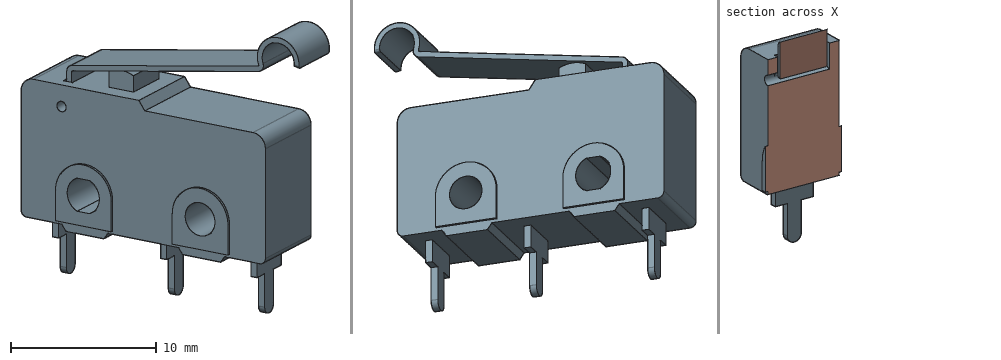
import cadquery as cq
import math


housing_length = 19.8
housing_width = 6.0
housing_height = 10.15
low_top_height = 9.45
step_start_x = 9.55
step_end_x = 10.03
top_corner_radius = 1.0
bottom_corner_radius = 0.45

wide_hole_x = 5.17
hole_spacing = 9.45
round_hole_x = wide_hole_x + hole_spacing
hole_z = 2.45
hole_diameter = 2.4
wide_hole_length = 2.6
pad_radius = 2.25
pad_bottom_z = 0.25
pad_height = 0.2
foot_top_length = 3.72
foot_bottom_length = 3.07
foot_height = 0.45

pivot_x = 3.28
pivot_z = 8.56
pivot_diameter = 0.75
slot_width = 4.34

lever_thickness = 0.4
lever_width = 4.0
lever_tilt = math.radians(10)
leg_bottom_z = 8.4
end_corner_radius = 0.18
bend_inner_radius = 0.1
bend_outer_radius = bend_inner_radius + lever_thickness
arm_root_z = 11.23
hook_radius = 1.69
hook_x = 20.21
hook_z = 14.65
riser_tilt = math.radians(20)
hook_tip_angle = math.radians(-10)

plunger_x = 7.31
plunger_length = 1.97
plunger_width = 3.37
dome_radius = 2.4

terminal_positions = (1.93, 10.69, 18.0)
terminal_thickness = 0.5
shoulder_width = 3.2
shoulder_depth = 1.62
blade_width = 1.18
terminal_depth = 4.65

leg_left = pivot_x - lever_thickness / 2
leg_right = pivot_x + lever_thickness / 2


def arm_top_z(x):
    return arm_root_z + (x - leg_left) * math.tan(lever_tilt)


def arm_underside_z(x):
    return arm_top_z(x) - lever_thickness / math.cos(lever_tilt)


def extrude_across(profile, width):
    """Extrude an XZ profile by the given width, centred on Y = 0."""
    return profile.extrude(width / 2, both=True)


def make_shell():
    """Solid block with the stepped top and rounded corners."""
    outline = (
        cq.Workplane("XZ")
        .polyline([
            (0, 0),
            (housing_length, 0),
            (housing_length, low_top_height),
            (step_end_x, low_top_height),
            (step_start_x, housing_height),
            (0, housing_height),
        ])
        .close()
    )
    shell = extrude_across(outline, housing_width)
    for x, top in ((0, housing_height), (housing_length, low_top_height)):
        shell = shell.edges(cq.NearestToPointSelector((x, 0, top))).fillet(top_corner_radius)
        shell = shell.edges(cq.NearestToPointSelector((x, 0, 0))).fillet(bottom_corner_radius)
    return shell


def make_pads(x):
    """Arched pads standing out from both the front and the back face."""
    outline = (
        cq.Workplane("XZ")
        .moveTo(x - pad_radius, pad_bottom_z)
        .lineTo(x + pad_radius, pad_bottom_z)
        .lineTo(x + pad_radius, hole_z)
        .threePointArc((x, hole_z + pad_radius), (x - pad_radius, hole_z))
        .close()
    )
    return extrude_across(outline, housing_width + 2 * pad_height)


def make_foot(x):
    """Low tapered foot across the whole underside."""
    outline = (
        cq.Workplane("XZ")
        .polyline([
            (x - foot_top_length / 2, 0),
            (x - foot_bottom_length / 2, -foot_height),
            (x + foot_bottom_length / 2, -foot_height),
            (x + foot_top_length / 2, 0),
        ])
        .close()
    )
    return extrude_across(outline, housing_width)


def make_mounting_holes():
    through = housing_width + 2 * pad_height
    round_hole = cq.Workplane("XZ").center(round_hole_x, hole_z).circle(hole_diameter / 2)
    wide_circle = cq.Workplane("XZ").center(wide_hole_x, hole_z).circle(wide_hole_length / 2)
    flat_band = cq.Workplane("XZ").center(wide_hole_x, hole_z).rect(wide_hole_length, hole_diameter)
    wide_hole = extrude_across(wide_circle, through).intersect(extrude_across(flat_band, through))
    return extrude_across(round_hole, through).union(wide_hole)


def make_lever_slot():
    slot = cq.Workplane("XY").box(
        pivot_diameter, slot_width, housing_height - pivot_z, centered=(True, True, False)
    ).translate((pivot_x, 0, pivot_z))
    pivot_hole = (
        cq.Workplane("XZ", origin=(0, slot_width / 2, 0))
        .center(pivot_x, pivot_z)
        .circle(pivot_diameter / 2)
        .extrude((slot_width + housing_width) / 2)
    )
    return slot.union(pivot_hole)


def make_plunger():
    """Block on the housing whose domed top just touches the underside of the lever arm."""
    half = plunger_length / 2
    dome_center_z = arm_underside_z(plunger_x) - dome_radius / math.cos(lever_tilt)
    dome_edge_z = dome_center_z + math.sqrt(dome_radius ** 2 - half ** 2)
    outline = (
        cq.Workplane("XZ")
        .moveTo(plunger_x - half, housing_height)
        .lineTo(plunger_x + half, housing_height)
        .lineTo(plunger_x + half, dome_edge_z)
        .threePointArc(
            (plunger_x, dome_center_z + dome_radius),
            (plunger_x - half, dome_edge_z),
        )
        .close()
    )
    return extrude_across(outline, plunger_width)


def make_housing():
    housing = make_shell()
    for x in (wide_hole_x, round_hole_x):
        housing = housing.union(make_pads(x)).union(make_foot(x))
    housing = housing.cut(make_mounting_holes()).cut(make_lever_slot())
    return housing.union(make_plunger())


def hook_point(radius, angle):
    return (hook_x + radius * math.cos(angle), hook_z + radius * math.sin(angle))


def riser_foot(start, arm_surface_z):
    """Point where the straight riser below `start` meets a surface of the arm."""
    x, z = start
    run = (z - arm_surface_z(x)) / (1 / math.tan(riser_tilt) + math.tan(lever_tilt))
    return (x + run, arm_surface_z(x + run))


def make_lever():
    """Bent strip: upright leg in the slot, tilted arm and a hook at its free end."""
    inner_radius = hook_radius - lever_thickness
    riser_angle = math.pi + riser_tilt
    middle_angle = (riser_angle + hook_tip_angle) / 2
    outer_start = hook_point(hook_radius, riser_angle)
    inner_start = hook_point(inner_radius, riser_angle)
    inner_bend = riser_foot(outer_start, arm_top_z)
    outer_bend = riser_foot(inner_start, arm_underside_z)
    outline = (
        cq.Workplane("XZ")
        .moveTo(leg_left, leg_bottom_z)
        .lineTo(leg_left, arm_root_z)
        .lineTo(*inner_bend)
        .lineTo(*outer_start)
        .threePointArc(
            hook_point(hook_radius, middle_angle), hook_point(hook_radius, hook_tip_angle)
        )
        .lineTo(*hook_point(inner_radius, hook_tip_angle))
        .threePointArc(hook_point(inner_radius, middle_angle), inner_start)
        .lineTo(*outer_bend)
        .lineTo(leg_right, arm_underside_z(leg_right))
        .lineTo(leg_right, leg_bottom_z)
        .close()
    )
    lever = extrude_across(outline, lever_width)
    bends = (
        ((leg_left, arm_root_z), bend_outer_radius),
        ((leg_right, arm_underside_z(leg_right)), bend_inner_radius),
        (inner_bend, bend_inner_radius),
        (outer_bend, bend_outer_radius),
    )
    for (x, z), radius in bends:
        lever = lever.edges(cq.NearestToPointSelector((x, 0, z))).fillet(radius)
    return round_strip_ends(lever)


def round_strip_ends(lever):
    """Round the corners of the leg end and of the hook tip."""
    tip_x, tip_z = hook_point(hook_radius - lever_thickness / 2, hook_tip_angle)
    for x, z in ((pivot_x, leg_bottom_z), (tip_x, tip_z)):
        for y in (-lever_width / 2, lever_width / 2):
            corner = cq.NearestToPointSelector((x, y, z))
            lever = lever.edges(corner).fillet(end_corner_radius)
    return lever


def make_terminal(x):
    """Flat pin with a wide shoulder at the housing and a round tip."""
    shoulder = shoulder_width / 2
    blade = blade_width / 2
    tip_start_z = blade - terminal_depth
    return (
        cq.Workplane("YZ", origin=(x - terminal_thickness / 2, 0, 0))
        .moveTo(-shoulder, 0)
        .lineTo(-shoulder, -shoulder_depth)
        .lineTo(-blade, -shoulder_depth)
        .lineTo(-blade, tip_start_z)
        .threePointArc((0, -terminal_depth), (blade, tip_start_z))
        .lineTo(blade, -shoulder_depth)
        .lineTo(shoulder, -shoulder_depth)
        .lineTo(shoulder, 0)
        .close()
        .extrude(terminal_thickness)
    )


housing = make_housing()
lever = make_lever()
terminals = [make_terminal(x) for x in terminal_positions]

result = cq.Compound.makeCompound(
    [housing.val(), lever.val(), *[terminal.val() for terminal in terminals]]
)